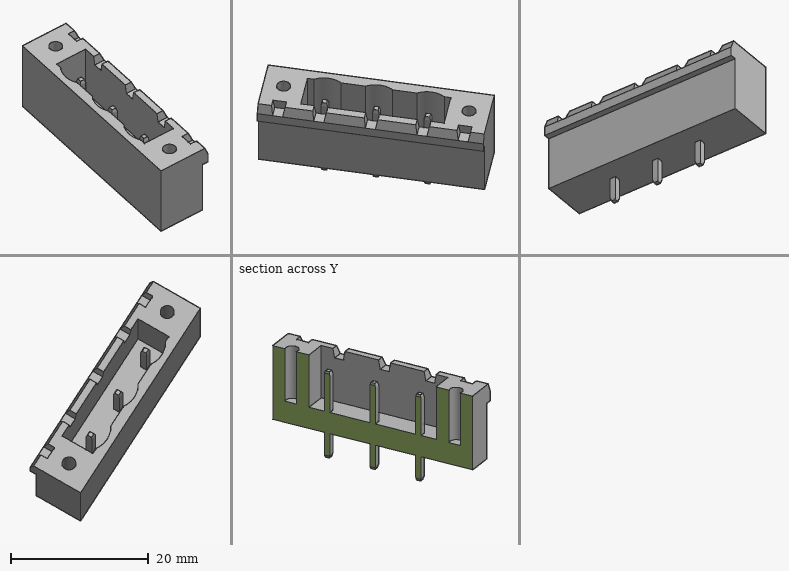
import cadquery as cq

length = 33.45
depth = 7.6
height = 12.0

lip_overhang = 1.0
lip_height = 3.0
lip_bevel_depth = 0.6
lip_bevel_height = 1.47

pin_pitch = 7.62
pin_xs = [-pin_pitch, 0, pin_pitch]
pin_y = 3.8
pin_width = 1.0
pin_tip_width = 0.67
pin_tip_length = 0.6
pin_tail = 3.98
pin_top = height - 2.0

pocket_length = 21.2
pocket_front = 1.65
pocket_back = 6.9
pocket_depth = 8.5
scallop_width = 4.0
scallop_rise = 0.6

screw_x = 13.7
screw_diameter = 2.0
screw_depth = 8.5

notch_top_width = 2.0
notch_floor_width = 1.47
notch_depth = 1.47
notch_xs = [-screw_x] + pin_xs + [screw_x]


def make_housing():
    """Extrude the side profile, including the bevelled lip, along X."""
    back = depth + lip_overhang
    profile = [
        (0, 0),
        (depth, 0),
        (depth, height - lip_height),
        (back, height - lip_height),
        (back, height - lip_bevel_height),
        (back - lip_bevel_depth, height),
        (0, height),
    ]
    return cq.Workplane("YZ").polyline(profile).close().extrude(length / 2, both=True)


def make_pocket():
    """Rectangular pocket whose front wall has a shallow arc scallop beside each pin."""
    half_length = pocket_length / 2
    half_scallop = scallop_width / 2
    floor = cq.Workplane("XY", origin=(0, 0, height - pocket_depth))
    outline = floor.moveTo(-half_length, pocket_front)
    for x in pin_xs:
        outline = outline.lineTo(x - half_scallop, pocket_front).threePointArc(
            (x, pocket_front - scallop_rise), (x + half_scallop, pocket_front)
        )
    outline = outline.lineTo(half_length, pocket_front)
    outline = outline.lineTo(half_length, pocket_back).lineTo(-half_length, pocket_back)
    return outline.close().extrude(pocket_depth)


def make_notch(x):
    """Notch with sloping sides, running from the pocket's rear wall line out through the lip."""
    floor_z = height - notch_depth
    section = [
        (x - notch_top_width / 2, height),
        (x - notch_floor_width / 2, floor_z),
        (x + notch_floor_width / 2, floor_z),
        (x + notch_top_width / 2, height),
    ]
    run = depth + lip_overhang - pocket_back
    rear_plane = cq.Workplane("XZ", origin=(0, pocket_back, 0))
    return rear_plane.polyline(section).close().extrude(-run)


def make_pin(x):
    """Square pin with a tapered tip at each end."""
    shank_bottom = pin_tip_length - pin_tail
    shank_top = pin_top - pin_tip_length

    def tip(base_z, end_z):
        base = cq.Workplane("XY", origin=(x, pin_y, base_z)).rect(pin_width, pin_width)
        return base.workplane(offset=end_z - base_z).rect(pin_tip_width, pin_tip_width).loft(ruled=True)

    shank = cq.Workplane("XY", origin=(x, pin_y, shank_bottom)).rect(pin_width, pin_width)
    shank = shank.extrude(shank_top - shank_bottom)
    return shank.union(tip(shank_bottom, -pin_tail)).union(tip(shank_top, pin_top))


result = make_housing().cut(make_pocket())

for notch_x in notch_xs:
    result = result.cut(make_notch(notch_x))

screw_centres = [(-screw_x, pin_y), (screw_x, pin_y)]
screw_holes = cq.Workplane("XY", origin=(0, 0, height)).pushPoints(screw_centres)
result = result.cut(screw_holes.circle(screw_diameter / 2).extrude(-screw_depth))

for pin_x in pin_xs:
    result = result.union(make_pin(pin_x))